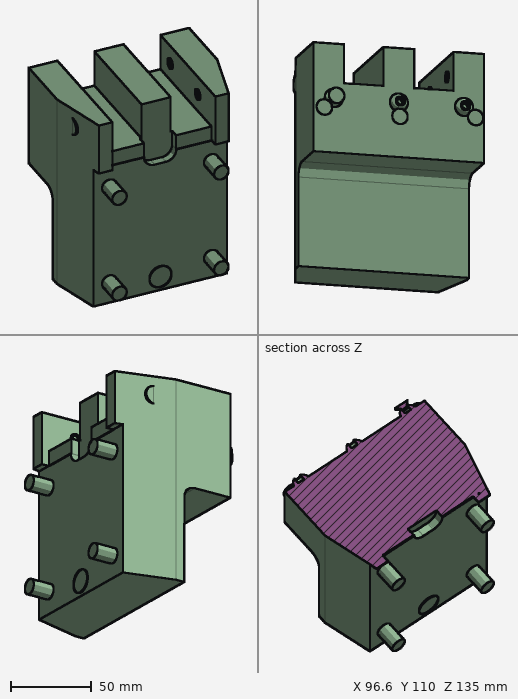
import cadquery as cq
import math

HEIGHT = 135.0
WIDTH = 110.0

BACK_X = 74.9
FOOT_X = 34.8
UNDERSIDE_Z = 65.1
CORNER_RADIUS = 8.0
EAR_X = 80.0
EAR_BOTTOM_Z = 99.9
TAPER_START_X = 41.2
TAPER_ANGLE = 15.0

RIB_WIDTH = 20.0
RIB_END_X = 68.8
SLOT_WIDTH = 25.4
SLOT_DEPTH = 25.0
SLOT_FLOOR_Z = HEIGHT - SLOT_DEPTH
SLOT_OUTER_Y = RIB_WIDTH / 2 + SLOT_WIDTH
SLOT_BACK_X = 74.5

RECESS_WIDTH = 22.0
RECESS_CORNER_RADIUS = 7.2
RECESS_FLOOR_Z = EAR_BOTTOM_Z - RECESS_CORNER_RADIUS

BACK_EMBED = 2.7
PIN_RADIUS = 5.0
PIN_END_X = 89.8
PIN_Y = 35.0
PIN_HEIGHTS = (15.0, 85.0)

PAD_RADIUS = 7.5
PAD_Z = 10.0
PAD_HEIGHT = 0.5

SCREW_Z = 122.5
SCREW_XS = (14.7, 54.8)
SCREW_TIP_RADIUS = 3.5
SCREW_TIP_BORE_RADIUS = 2.5
SCREW_TIP_HEIGHT = 0.5
PLUG_RADIUS = 6.0
PLUG_X = SCREW_XS[1]
PLUG_OUTER_Y = 51.2

NOZZLE_Z = 100.0
NOZZLE_Y = 42.0
NOZZLE_RADIUS = 5.8
NOZZLE_HEIGHT = 3.8
NOZZLE_FLAT_RADIUS = 3.0
NOZZLE_BORE_RADIUS = 2.2

FLARE_RADIUS = 5.0
FLARE_NECK_RADIUS = 2.4
FLARE_LENGTH = 2.5
FLARE_EMBED = 1.4
TALL_FLARE_END_X = -6.8
LOW_FLARE_CENTRES = ((-48.7, 93.2), (0.0, 90.6), (48.7, 93.2))


def block(x_range, y_range, z_range):
    """Axis-aligned box between the given limits."""
    size = [end - start for start, end in (x_range, y_range, z_range)]
    corner = (x_range[0], y_range[0], z_range[0])
    return cq.Workplane("XY").box(*size, centered=False).translate(corner)


def rod_x(radius, start_x, end_x, y, z):
    """Cylinder along X."""
    return cq.Workplane("YZ", origin=(start_x, y, z)).circle(radius).extrude(end_x - start_x)


def rod_y(radius, start_y, end_y, x, z):
    """Cylinder along Y."""
    return cq.Workplane("XZ", origin=(x, start_y, z)).circle(radius).extrude(start_y - end_y)


def make_body():
    profile = (
        cq.Workplane("XZ", origin=(0, WIDTH / 2, 0))
        .moveTo(FOOT_X, 0)
        .lineTo(BACK_X, 0)
        .lineTo(BACK_X, EAR_BOTTOM_Z)
        .lineTo(EAR_X, EAR_BOTTOM_Z)
        .lineTo(EAR_X, HEIGHT)
        .lineTo(0, HEIGHT)
        .lineTo(0, UNDERSIDE_Z)
        .lineTo(FOOT_X - CORNER_RADIUS, UNDERSIDE_Z)
        .radiusArc((FOOT_X, UNDERSIDE_Z - CORNER_RADIUS), CORNER_RADIUS)
        .close()
        .extrude(WIDTH)
    )
    end_half_width = WIDTH / 2 - (EAR_X - TAPER_START_X) * math.tan(math.radians(TAPER_ANGLE))
    plan = (
        cq.Workplane("XY")
        .polyline([
            (0, -WIDTH / 2),
            (TAPER_START_X, -WIDTH / 2),
            (EAR_X, -end_half_width),
            (EAR_X, end_half_width),
            (TAPER_START_X, WIDTH / 2),
            (0, WIDTH / 2),
        ])
        .close()
        .extrude(HEIGHT)
    )
    return profile.intersect(plan)


def cut_slots(body):
    for side in (-1, 1):
        y_range = sorted((side * RIB_WIDTH / 2, side * SLOT_OUTER_Y))
        body = body.cut(block((0, EAR_X), y_range, (SLOT_FLOOR_Z, HEIGHT)))
    between_ears = (-SLOT_OUTER_Y, SLOT_OUTER_Y)
    body = body.cut(block((SLOT_BACK_X, EAR_X), between_ears, (EAR_BOTTOM_Z, HEIGHT)))
    recess = (
        block((RIB_END_X, EAR_X), (-RECESS_WIDTH / 2, RECESS_WIDTH / 2), (RECESS_FLOOR_Z, HEIGHT))
        .edges("|X and <Z")
        .fillet(RECESS_CORNER_RADIUS)
    )
    return body.cut(recess)


def add_pins(body):
    for y in (-PIN_Y, PIN_Y):
        for z in PIN_HEIGHTS:
            body = body.union(rod_x(PIN_RADIUS, BACK_X - BACK_EMBED, PIN_END_X, y, z))
    return body


def add_back_pad(body):
    return body.union(rod_x(PAD_RADIUS, BACK_X - BACK_EMBED, BACK_X + PAD_HEIGHT, 0, PAD_Z))


def add_clamping_screws(body):
    """Ring tips standing into the slots, and plug ends standing out of the tapered sides."""
    for side in (-1, 1):
        wall_y = side * SLOT_OUTER_Y
        tip_y = side * (SLOT_OUTER_Y - SCREW_TIP_HEIGHT)
        for x in SCREW_XS:
            tip = rod_y(SCREW_TIP_RADIUS, wall_y, tip_y, x, SCREW_Z)
            bore = rod_y(SCREW_TIP_BORE_RADIUS, wall_y, tip_y, x, SCREW_Z)
            body = body.union(tip.cut(bore))
        body = body.union(rod_y(PLUG_RADIUS, wall_y, side * PLUG_OUTER_Y, PLUG_X, SCREW_Z))
    return body


def make_nozzle(y):
    """Domed cap with a flat, bored tip."""
    dome = (
        cq.Workplane("XY")
        .lineTo(-NOZZLE_HEIGHT, 0)
        .lineTo(-NOZZLE_HEIGHT, NOZZLE_FLAT_RADIUS)
        .radiusArc((0, NOZZLE_RADIUS), NOZZLE_RADIUS)
        .close()
        .revolve(360, (0, 0, 0), (1, 0, 0))
    )
    bore = rod_x(NOZZLE_BORE_RADIUS, -NOZZLE_HEIGHT, 0, 0, 0)
    return dome.cut(bore).translate((0, y, NOZZLE_Z))


def make_flare(end_x, y, z):
    """Cone widening towards -X, on a neck that reaches into the material behind it."""
    neck_x = end_x + FLARE_LENGTH
    return (
        cq.Workplane("XY")
        .moveTo(end_x, 0)
        .lineTo(end_x, FLARE_RADIUS)
        .lineTo(neck_x, FLARE_NECK_RADIUS)
        .lineTo(neck_x + FLARE_EMBED, FLARE_NECK_RADIUS)
        .lineTo(neck_x + FLARE_EMBED, 0)
        .close()
        .revolve(360, (0, 0, 0), (1, 0, 0))
        .translate((0, y, z))
    )


def add_nozzles(body):
    for y in (-NOZZLE_Y, 0, NOZZLE_Y):
        body = body.union(make_nozzle(y))
    body = body.union(make_flare(TALL_FLARE_END_X, NOZZLE_Y, NOZZLE_Z))
    for y, z in LOW_FLARE_CENTRES:
        body = body.union(make_flare(-FLARE_LENGTH, y, z))
    return body


body = cut_slots(make_body())
body = add_pins(body)
body = add_back_pad(body)
body = add_clamping_screws(body)
result = add_nozzles(body)